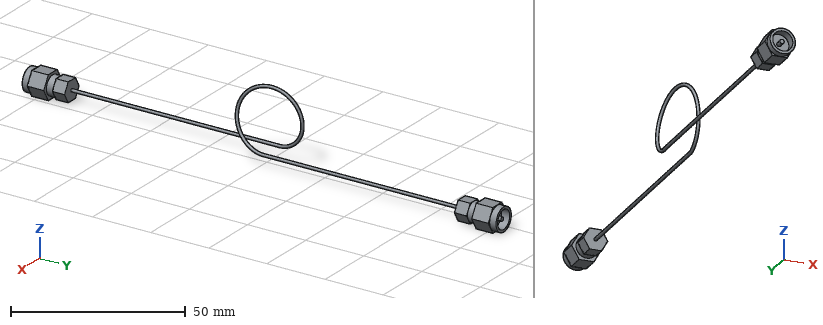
import cadquery as cq
import math

OVERALL_LENGTH = 168.3
LEAD_SPACING = 7.9

CABLE_DIAMETER = 1.0
LOOP_RADIUS = 10.0
LOOP_Y = 1.0

COLLAR_DIAMETER = 7.9
COLLAR_LENGTH = 2.2
NUT_ACROSS_FLATS = 8.0
NUT_LENGTH = 5.7
NECK_DIAMETER = 6.5
NECK_LENGTH = 2.4
REAR_HEX_ACROSS_FLATS = 6.5
REAR_HEX_LENGTH = 4.2
SOCKET_DIAMETER = 6.2
SOCKET_DEPTH = 2.9
PIN_DIAMETER = 1.3
PIN_RECESS = 0.5

CONNECTOR_LENGTH = COLLAR_LENGTH + NUT_LENGTH + NECK_LENGTH + REAR_HEX_LENGTH
LEAD_X = LEAD_SPACING / 2
HALF_LENGTH = OVERALL_LENGTH / 2
CABLE_END_Y = HALF_LENGTH - CONNECTOR_LENGTH + REAR_HEX_LENGTH


def cylinder(diameter, start, length):
    """Cylinder along +Y, beginning at Y = start."""
    plane = cq.Workplane("XZ", origin=(0, start, 0))
    return plane.circle(diameter / 2).extrude(-length)


def hexagon(across_flats, start, length):
    """Hexagonal prism along +Y with corners on the X axis."""
    across_corners = across_flats / math.cos(math.pi / 6)
    plane = cq.Workplane("XZ", origin=(0, start, 0))
    return plane.polygon(6, across_corners).extrude(-length)


def make_cable():
    """Two straight leads joined by one full helical turn that advances along X."""
    loop_plane = cq.Plane(origin=(-LEAD_X, LOOP_Y, LOOP_RADIUS), xDir=(0, 0, -1), normal=(1, 0, 0))
    helix = cq.Wire.makeHelix(LEAD_SPACING, LEAD_SPACING, LOOP_RADIUS)
    loop = helix.moved(cq.Location(loop_plane))

    front_end = cq.Vector(-LEAD_X, -CABLE_END_Y, 0)
    rear_end = cq.Vector(LEAD_X, CABLE_END_Y, 0)
    front_lead = cq.Edge.makeLine(front_end, loop.startPoint())
    rear_lead = cq.Edge.makeLine(loop.endPoint(), rear_end)
    path = cq.Wire.assembleEdges([front_lead, *loop.Edges(), rear_lead])

    profile = cq.Workplane("XZ", origin=front_end).circle(CABLE_DIAMETER / 2)
    return profile.sweep(cq.Workplane().newObject([path]), transition="transformed", isFrenet=True)


def make_connector():
    """Connector along +Y with its mating end at Y = 0."""
    nut_start = COLLAR_LENGTH
    neck_start = nut_start + NUT_LENGTH
    rear_start = neck_start + NECK_LENGTH
    body = cylinder(COLLAR_DIAMETER, 0, COLLAR_LENGTH)
    body = body.union(hexagon(NUT_ACROSS_FLATS, nut_start, NUT_LENGTH))
    body = body.union(cylinder(NECK_DIAMETER, neck_start, NECK_LENGTH))
    body = body.union(hexagon(REAR_HEX_ACROSS_FLATS, rear_start, REAR_HEX_LENGTH))
    body = body.cut(cylinder(SOCKET_DIAMETER, 0, SOCKET_DEPTH))
    body = body.union(cylinder(PIN_DIAMETER, PIN_RECESS, SOCKET_DEPTH - PIN_RECESS))
    return body.cut(cylinder(CABLE_DIAMETER, rear_start, REAR_HEX_LENGTH))


cable = make_cable()
connectors = []
for side, turn in ((-1, 0), (1, 180)):
    connector = make_connector().rotate((0, 0, 0), (0, 0, 1), turn)
    connectors.append(connector.translate((side * LEAD_X, side * HALF_LENGTH, 0)))

result = cq.Compound.makeCompound([cable.val(), *[connector.val() for connector in connectors]])